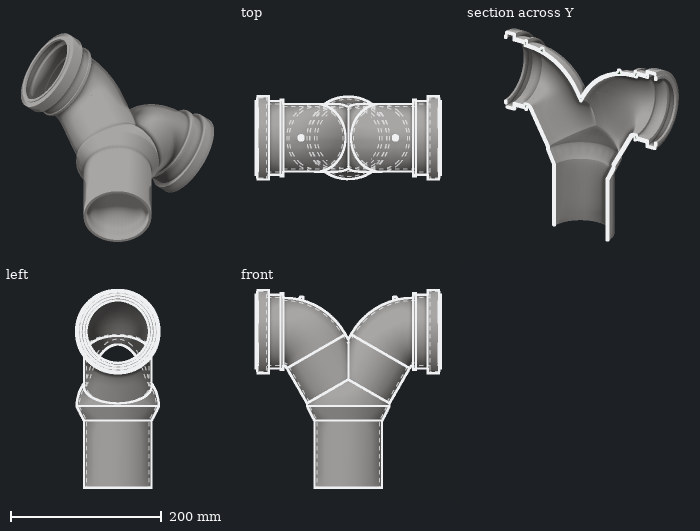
import cadquery as cq
import math


pipe_radius = 45.0
wall = 3.6
bore_radius = pipe_radius - wall

ball_radius = 55.0
branch_tilt = 30.0
spigot_bottom = -107.34
flare_bottom = -18.1
flare_top = 1.6
rim_height = 1.0
flare_sag = 0.25

socket_axis_z = 100.0
bend_radius = 49.0
elbow_branch_stub = 2.0
nub_angle = 14.5
nub_root_radius = 4.0
nub_tip_radius = 2.0
nub_length = 6.3

half_length = 122.8
mouth = 1.5
rim_front = 2.6
head_end = 17.6
bead_start = 33.2
head_radius = 55.5
barrel_radius = 49.2
bead_radius = 51.0
socket_bore_radius = 45.2
stop_depth = 32.0
groove_end = 14.2
groove_radius = 53.0

seal_radius = 49.2
seal_depth = 3.2

tilt = math.radians(branch_tilt)
bend_angle = 90.0 - branch_tilt
bend = math.radians(bend_angle)

bend_centre_z = socket_axis_z - bend_radius
bend_centre_x = -(bend_radius / math.cos(tilt) + bend_centre_z * math.tan(tilt))
elbow_end_x = bend_centre_x + bend_radius * math.sin(bend)
elbow_end_z = bend_centre_z + bend_radius * math.cos(bend)
socket_end = half_length + bend_centre_x
branch_length = math.hypot(elbow_end_x, elbow_end_z) - elbow_branch_stub


def branch_cylinder(radius):
    direction = cq.Vector(-math.sin(tilt), 0, math.cos(tilt))
    cylinder = cq.Solid.makeCylinder(radius, branch_length, cq.Vector(), direction)
    return cq.Workplane(cylinder)


def mirrored(body):
    return cq.Workplane(body.val().mirror("YZ"))


def fork_core(offset):
    """Spigot, flare and ball as a revolved solid, shrunk by the given wall offset."""
    spigot = pipe_radius - offset
    ball = ball_radius - offset
    rim_top = flare_top + rim_height
    rim = math.sqrt(ball**2 - rim_top**2)
    return (
        cq.Workplane("XZ")
        .moveTo(0, spigot_bottom)
        .lineTo(spigot, spigot_bottom)
        .lineTo(spigot, flare_bottom)
        .sagittaArc((rim, flare_top), -flare_sag)
        .lineTo(rim, rim_top)
        .threePointArc((ball * math.cos(bend), ball * math.sin(bend)), (0, ball))
        .close()
        .revolve(360, (0, 0, 0), (0, 1, 0))
    )


def fork_shape(offset):
    branch = branch_cylinder(pipe_radius - offset)
    return fork_core(offset).union(branch).union(mirrored(branch))


def make_fork():
    return fork_shape(0).cut(fork_shape(wall))


def pipe_section(workplane):
    return workplane.circle(pipe_radius).circle(bore_radius)


def nub():
    """Tapered sprue nub on the back of the bend."""
    angle = math.radians(nub_angle)
    direction = cq.Vector(math.sin(angle), 0, math.cos(angle))
    root = cq.Vector(bend_centre_x, 0, bend_centre_z) + direction * (bend_radius + bore_radius + wall / 2)
    return cq.Workplane(cq.Solid.makeCone(nub_root_radius, nub_tip_radius, nub_length, root, direction))


def make_elbow():
    """Bend from the socket end down to the fork, ending in a short straight stub."""
    start_plane = cq.Plane((bend_centre_x, 0, socket_axis_z), (0, 1, 0), (1, 0, 0))
    pipe_bend = pipe_section(cq.Workplane(start_plane)).revolve(
        bend_angle, (-1, -bend_radius, 0), (1, -bend_radius, 0)
    )
    end_plane = cq.Plane((elbow_end_x, 0, elbow_end_z), (0, 1, 0), (math.sin(tilt), 0, -math.cos(tilt)))
    branch_stub = pipe_section(cq.Workplane(end_plane)).extrude(elbow_branch_stub)
    return pipe_bend.union(branch_stub).union(nub())


def turned_about_socket_axis(points):
    """Revolve a closed (depth, radius) outline about the axis of the left socket."""
    outline = [(depth - half_length, radius + socket_axis_z) for depth, radius in points]
    axis_start = (0, socket_axis_z, 0)
    axis_end = (1, socket_axis_z, 0)
    return cq.Workplane("XZ").polyline(outline).close().revolve(360, axis_start, axis_end)


def make_socket():
    return turned_about_socket_axis([
        (mouth, seal_radius),
        (rim_front, head_radius),
        (head_end, head_radius),
        (head_end, barrel_radius),
        (bead_start, barrel_radius),
        (bead_start, bead_radius),
        (socket_end, bead_radius),
        (socket_end, bore_radius),
        (stop_depth, bore_radius),
        (stop_depth, socket_bore_radius),
        (groove_end, socket_bore_radius),
        (groove_end, groove_radius),
        (seal_depth, groove_radius),
        (seal_depth, seal_radius),
    ])


def make_seal():
    return turned_about_socket_axis([
        (0, socket_bore_radius),
        (0, seal_radius),
        (seal_depth, seal_radius),
        (seal_depth, socket_bore_radius),
    ])


fork = make_fork()
bodies = [fork.val()]
for make_body in (make_elbow, make_socket, make_seal):
    left_body = make_body()
    bodies.append(left_body.val())
    bodies.append(mirrored(left_body).val())

result = cq.Compound.makeCompound(bodies)